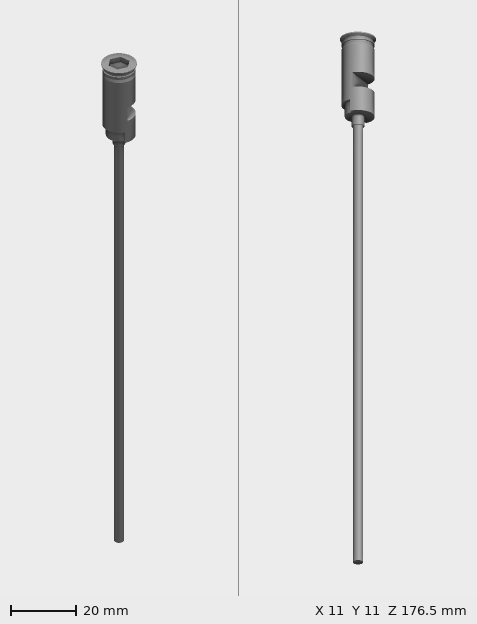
import cadquery as cq
import math

total_length = 176.5

flange_radius = 5.5
flange_rim = 0.4
flange_height = 1.0
neck_radius = 4.8
ring_radius = 5.1
ring_top_depth = 1.8
ring_height = 0.5
body_top_depth = 3.0
body_taper_height = 0.9

body_radius = 5.1
body_bottom_depth = 26.3
collar_radius = 2.0
collar_bottom_depth = 29.5
rod_radius = 1.6

step_radius = 4.0
step_top_depth = 22.5

notch_top_depth = 13.5
notch_height = 5.0
notch_floor_y = 0.7

socket_flats = 6.0
socket_depth = 2.0


def height(depth):
    """Z of a level given its depth below the top face."""
    return total_length - depth


def make_turned_body():
    ring_bottom_depth = ring_top_depth + ring_height
    profile = [
        (0, height(0)),
        (flange_radius, height(0)),
        (flange_radius, height(flange_rim)),
        (neck_radius, height(flange_height)),
        (neck_radius, height(ring_top_depth)),
        (ring_radius, height(ring_top_depth)),
        (ring_radius, height(ring_bottom_depth)),
        (neck_radius, height(ring_bottom_depth)),
        (neck_radius, height(body_top_depth)),
        (body_radius, height(body_top_depth + body_taper_height)),
        (body_radius, height(body_bottom_depth)),
        (collar_radius, height(body_bottom_depth)),
        (collar_radius, height(collar_bottom_depth)),
        (rod_radius, height(collar_bottom_depth)),
        (rod_radius, 0),
        (0, 0),
    ]
    return cq.Workplane("XZ").polyline(profile).close().revolve(360, (0, 0), (0, 1))


def make_step_cutter():
    """Half ring that thins the -Y side of the lower body."""
    ring = (
        cq.Workplane("XY", origin=(0, 0, height(body_bottom_depth)))
        .circle(flange_radius)
        .circle(step_radius)
        .extrude(body_bottom_depth - step_top_depth)
    )
    front_half = (
        cq.Workplane("XY")
        .box(2 * flange_radius, flange_radius, total_length, centered=(True, False, False))
        .translate((0, -flange_radius, 0))
    )
    return ring.intersect(front_half)


def make_notch_cutter():
    return (
        cq.Workplane("XY", origin=(0, notch_floor_y, height(notch_top_depth + notch_height)))
        .box(2 * flange_radius, flange_radius, notch_height, centered=(True, False, False))
    )


def make_socket_cutter():
    corner_diameter = socket_flats / math.cos(math.pi / 6)
    return (
        cq.Workplane("XY", origin=(0, 0, height(socket_depth)))
        .transformed(rotate=(0, 0, 90))
        .polygon(6, corner_diameter)
        .extrude(socket_depth)
    )


result = make_turned_body()
for cutter in (make_step_cutter(), make_notch_cutter(), make_socket_cutter()):
    result = result.cut(cutter)